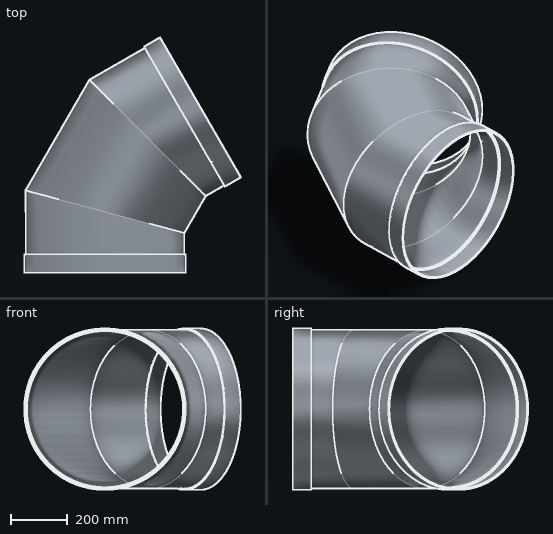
import cadquery as cq
import math

bend_angle = 60.0
tube_diameter = 560.0
wall = 5.0
bend_radius = 560.0
overall_length = 829.0
taper_length = 5.0

bore_diameter = tube_diameter - 2 * wall
collar_diameter = tube_diameter + 2 * wall
half_turn = bend_angle / 2
mitre_angle = bend_angle / 4
outlet_rise = collar_diameter / 2 * math.sin(math.radians(bend_angle))
leg_length = (overall_length - outlet_rise) / (1 + math.cos(math.radians(bend_angle)))
collar_length = leg_length - bend_radius * math.tan(math.radians(half_turn))
mitre_distance = collar_length + bend_radius * math.tan(math.radians(mitre_angle))


def point_on_end_axis(distance):
    """Point on the outlet axis, at a distance past the crossing of the end axes."""
    turn = math.radians(bend_angle)
    return cq.Vector(distance * math.sin(turn), leg_length + distance * math.cos(turn), 0)


inlet_axis = cq.Vector(0, 1, 0)
outlet_axis = (point_on_end_axis(8) - point_on_end_axis(0)).normalized()
inlet_face_centre = cq.Vector(0, 0, 0)
outlet_face_centre = point_on_end_axis(leg_length)


def mitred_rod(diameter):
    """Solid round rod that follows the three straight runs of the elbow."""
    path = cq.Workplane("XY").polyline([
        (0, collar_length),
        (0, mitre_distance),
        point_on_end_axis(leg_length - mitre_distance).toTuple()[:2],
        point_on_end_axis(leg_length - collar_length).toTuple()[:2],
    ])
    profile_plane = cq.Plane(origin=(0, collar_length, 0), xDir=(1, 0, 0), normal=inlet_axis.toTuple())
    return cq.Workplane(profile_plane).circle(diameter / 2).sweep(path, transition="right")


def make_elbow():
    """Mitred tube, cut square at both ends where it butts against the collars."""
    return mitred_rod(tube_diameter).cut(mitred_rod(bore_diameter))


def make_collar(face_centre, inward_axis):
    """Ring whose bore tapers at its back to meet the bore of the elbow flush."""
    plane = cq.Plane(origin=face_centre.toTuple(), xDir=(0, 0, 1), normal=inward_axis.toTuple())
    taper_start = plane.origin + inward_axis * (collar_length - taper_length)
    ring = cq.Workplane(plane).circle(collar_diameter / 2).extrude(collar_length)
    socket = cq.Workplane(plane).circle(tube_diameter / 2).extrude(collar_length - taper_length)
    taper = cq.Solid.makeCone(tube_diameter / 2, bore_diameter / 2, taper_length, taper_start, inward_axis)
    return ring.cut(socket).cut(cq.Workplane(taper))


elbow = make_elbow()
collar_places = [
    (inlet_face_centre, inlet_axis),
    (outlet_face_centre, -outlet_axis),
]
collars = [make_collar(centre, axis) for centre, axis in collar_places]

result = cq.Compound.makeCompound([elbow.val(), *[collar.val() for collar in collars]])